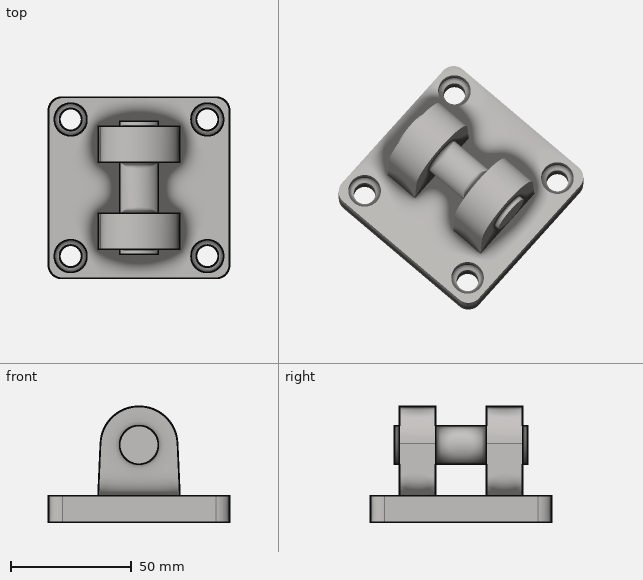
import cadquery as cq
import math

plate_side = 75.0
plate_thickness = 11.0
corner_radius = 5.7

hole_spacing = 56.5
hole_diameter = 9.0
counterbore_diameter = 13.5
counterbore_depth = 4.5

overall_height = 48.0
lug_radius = 16.0
lug_base_width = 33.9
lug_thickness = 15.0
lug_gap = 21.0
pin_height = overall_height - lug_radius

pin_diameter = 16.0
pin_length = 55.0


def make_plate():
    """Square plate standing on Z = 0, with rounded corners and counterbored holes."""
    plate = (
        cq.Workplane("XY")
        .box(plate_side, plate_side, plate_thickness, centered=(True, True, False))
        .edges("|Z")
        .fillet(corner_radius)
    )
    return (
        plate.faces(">Z")
        .workplane()
        .rect(hole_spacing, hole_spacing, forConstruction=True)
        .vertices()
        .cboreHole(hole_diameter, counterbore_diameter, counterbore_depth)
    )


def make_lug(y_center):
    """Lug whose straight flanks lean inward and run tangent into a round top."""
    half_base = lug_base_width / 2
    rise = pin_height - plate_thickness
    base_distance = math.hypot(half_base, rise)
    tangent_angle = math.acos(lug_radius / base_distance) - math.atan2(rise, half_base)
    tangent_x = lug_radius * math.cos(tangent_angle)
    tangent_z = pin_height + lug_radius * math.sin(tangent_angle)
    return (
        cq.Workplane("XZ", origin=(0, y_center + lug_thickness / 2, 0))
        .moveTo(-half_base, plate_thickness)
        .lineTo(half_base, plate_thickness)
        .lineTo(tangent_x, tangent_z)
        .threePointArc((0, overall_height), (-tangent_x, tangent_z))
        .close()
        .extrude(lug_thickness)
    )


def make_pin():
    """Round pin along Y, standing slightly proud of both lugs."""
    return (
        cq.Workplane("XZ", origin=(0, 0, pin_height))
        .circle(pin_diameter / 2)
        .extrude(pin_length / 2, both=True)
    )


lug_offset = (lug_gap + lug_thickness) / 2

result = make_plate()
for side in (-1, 1):
    result = result.union(make_lug(side * lug_offset))
result = result.union(make_pin())